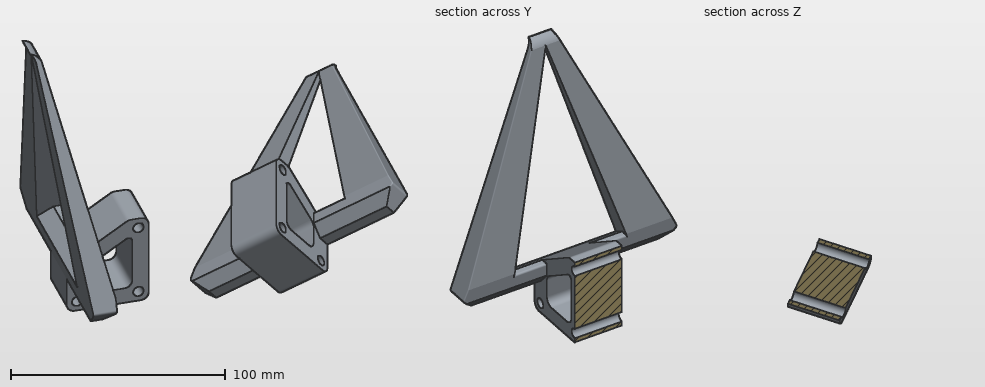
import cadquery as cq
import math


bracket_width = 26.0
bracket_depth = 40.0
bracket_height = 45.2
wall = 8.0
corner_radius = 4.0
pocket_apex_radius = 2.0
hole_diameter = 5.0
hole_inset = hole_diameter
slope_start = 9.9
slope_angle = 32.2
slope = math.tan(math.radians(slope_angle))

total_height = 140.8
frame_bottom = 18.2
frame_rear = 29.1
front_lean = 0.113
shoulder_height = 31.4
rear_chamfer_depth = 5.0
rear_chamfer_height = 5.9
half_bottom = 51.7
half_corner = 59.1
corner_height = frame_bottom + half_corner - half_bottom
half_top = 6.2
ledge_edge_radius = 1.0
limb_edge_radius = 0.5
side_corner_radius = 1.4
ledge_height = 30.5

tip_depth = 55.7
tip_thickness = 0.3
front_curl_height = 136.0
rear_curl_height = 136.7
rear_curl_depth = 50.5
rear_curl_mid = (52.9, 139.5)

window_floor = 25.5
window_half_width = 32.5
window_apex = 136.5


def arm_top(depth):
    """Height of the sloping upper face of the arm."""
    return bracket_height - slope * (depth - slope_start)


def side_point(depth, height):
    """Point in the YZ plane, with depth running towards -Y."""
    return (-depth, height)


def side_prism(points, width):
    outline = [side_point(*point) for point in points]
    return cq.Workplane("YZ").polyline(outline).close().extrude(width / 2, both=True)


def front_prism(points):
    return cq.Workplane("XZ").polyline(points).close().extrude(2 * tip_depth)


def make_frame():
    front_curl_depth = bracket_depth + front_lean * (front_curl_height - frame_bottom)
    profile = (
        cq.Workplane("YZ")
        .moveTo(*side_point(bracket_depth, frame_bottom))
        .lineTo(*side_point(front_curl_depth, front_curl_height))
        .tangentArcPoint(side_point(tip_depth, total_height - tip_thickness), relative=False)
        .lineTo(*side_point(tip_depth, total_height))
        .threePointArc(side_point(*rear_curl_mid), side_point(rear_curl_depth, rear_curl_height))
        .lineTo(*side_point(frame_rear, shoulder_height))
        .lineTo(*side_point(frame_rear, frame_bottom + rear_chamfer_height))
        .lineTo(*side_point(frame_rear + rear_chamfer_depth, frame_bottom))
        .close()
        .extrude(half_corner, both=True)
    )
    right_side = [(half_bottom, frame_bottom), (half_corner, corner_height), (half_top, total_height)]
    left_side = [(-x, z) for x, z in reversed(right_side)]
    outline = front_prism(right_side + left_side).edges("|Y").edges(">X or <X").fillet(side_corner_radius)
    frame = profile.intersect(outline)

    limb_height = (corner_height + rear_curl_height) / 2
    limb_fraction = (limb_height - corner_height) / (total_height - corner_height)
    limb_x = half_corner + limb_fraction * (half_top - half_corner)
    lean = (rear_curl_depth - frame_rear) / (rear_curl_height - shoulder_height)
    limb_depth = frame_rear + lean * (limb_height - shoulder_height)
    lower_height = (corner_height + side_corner_radius + shoulder_height) / 2
    rear_edges = []
    for side in (-1, 1):
        limb_point = (side * limb_x, -limb_depth, limb_height)
        lower_point = (side * half_corner, -frame_rear, lower_height)
        for point in (limb_point, lower_point):
            rear_edges += frame.edges(cq.NearestToPointSelector(point)).vals()
    return frame.newObject(rear_edges).fillet(limb_edge_radius)


def make_window():
    triangle = front_prism(
        [(-window_half_width, window_floor), (window_half_width, window_floor), (0, window_apex)]
    )
    ledge_front = slope_start + (bracket_height - ledge_height) / slope
    round_start = ledge_height - ledge_edge_radius
    above_floor = (
        cq.Workplane("YZ")
        .moveTo(*side_point(0, round_start))
        .lineTo(*side_point(frame_rear, round_start))
        .radiusArc(side_point(frame_rear + ledge_edge_radius, ledge_height), -ledge_edge_radius)
        .lineTo(*side_point(ledge_front, ledge_height))
        .lineTo(*side_point(tip_depth, arm_top(tip_depth)))
        .lineTo(*side_point(tip_depth, total_height))
        .lineTo(*side_point(0, total_height))
        .close()
        .extrude(window_half_width, both=True)
    )
    return triangle.intersect(above_floor)


def make_bracket():
    frame_front = bracket_depth + front_lean * (window_floor - frame_bottom)
    body = side_prism(
        [
            (0, 0),
            (bracket_depth, 0),
            (bracket_depth, frame_bottom),
            (frame_front, arm_top(frame_front)),
            (slope_start, bracket_height),
            (0, bracket_height),
        ],
        bracket_width,
    )
    body = body.edges("|X").edges("<Z or >Z").fillet(corner_radius)

    pocket_drop = wall / math.cos(math.radians(slope_angle))
    pocket = side_prism(
        [
            (wall, wall),
            (frame_rear, wall),
            (frame_rear, arm_top(frame_rear) - pocket_drop),
            (wall, arm_top(wall) - pocket_drop),
        ],
        bracket_width,
    )
    pocket = pocket.edges("|X").edges(">Z").fillet(pocket_apex_radius)
    pocket = pocket.faces("<Y").edges("|X").fillet(corner_radius)
    pocket = pocket.edges("|X").edges("<Z").edges(">Y").fillet(corner_radius)

    holes = (
        cq.Workplane("YZ")
        .pushPoints(
            [
                side_point(hole_inset, hole_inset),
                side_point(bracket_depth - hole_inset, hole_inset),
                side_point(hole_inset, bracket_height - hole_inset),
            ]
        )
        .circle(hole_diameter / 2)
        .extrude(bracket_width, both=True)
    )
    return body.cut(pocket).cut(holes)


frame = make_frame().cut(make_window())
result = frame.union(make_bracket())